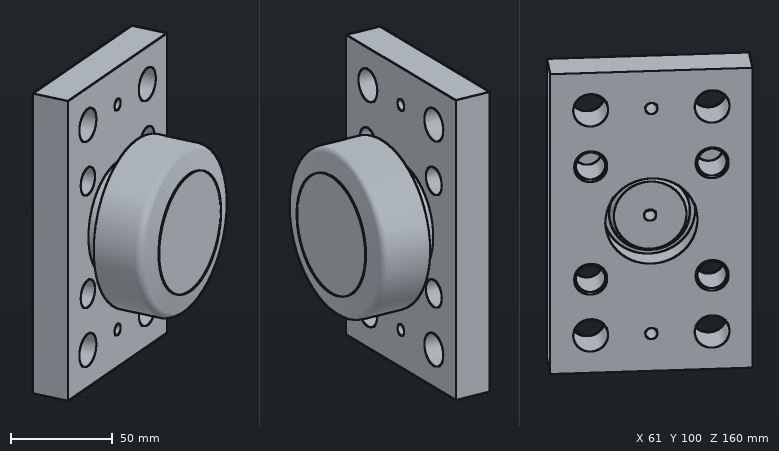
import cadquery as cq
import math

plate_thickness = 20.0
plate_width = 100.0
plate_height = 160

mount_hole_diameter = 17.1
mount_hole_spacing_y = 60.0
mount_hole_spacing_z = 120
pin_hole_diameter = 6.0
screw_hole_diameter = 14.4
screw_hole_mouth_diameter = 16.3
screw_hole_spacing = 60.0
screw_mouth_depth = (screw_hole_mouth_diameter - screw_hole_diameter) / 2

neck_radius = 29.5
collar_radius = 31.0
collar_start = 29.1
roller_start = 30.5
roller_end = 61.0
roller_radius = 44.2
back_edge_radius = 1.6
front_edge_start = 54.7
crown_start = 58.4
crown_radius = 41.5
front_face_start = 60.5
front_face_radius = 31.2

recess_radius = 22.7
recess_depth = 13.0
shaft_radius = 20.0
shaft_bevel_width = 2.0
shaft_bevel_length = 3.5
shaft_end = 7.5
center_hole_diameter = 6.0
center_hole_depth = 12.8
drill_tip_angle = 118


def disc(radius, start, end):
    """Cylinder about the X axis from start to end."""
    return cq.Workplane("YZ", origin=(start, 0, 0)).circle(radius).extrude(end - start)


def rectangle_corners(spacing_y, spacing_z):
    """Corners of a centred rectangle on the back face of the plate."""
    return cq.Workplane("YZ").rect(spacing_y, spacing_z, forConstruction=True).vertices()


def make_plate():
    plate = cq.Workplane("YZ").rect(plate_width, plate_height).extrude(plate_thickness)
    mount_holes = (
        rectangle_corners(mount_hole_spacing_y, mount_hole_spacing_z)
        .circle(mount_hole_diameter / 2)
        .extrude(plate_thickness)
    )
    pin_holes = (
        cq.Workplane("YZ")
        .pushPoints([(0, -mount_hole_spacing_z / 2), (0, mount_hole_spacing_z / 2)])
        .circle(pin_hole_diameter / 2)
        .extrude(plate_thickness)
    )
    screw_cutter = disc(screw_hole_diameter / 2, 0, plate_thickness).union(
        cq.Workplane("YZ")
        .circle(screw_hole_mouth_diameter / 2)
        .workplane(offset=screw_mouth_depth)
        .circle(screw_hole_diameter / 2)
        .loft()
    )
    plate = plate.cut(mount_holes).cut(pin_holes)
    for y in (-screw_hole_spacing / 2, screw_hole_spacing / 2):
        for z in (-screw_hole_spacing / 2, screw_hole_spacing / 2):
            plate = plate.cut(screw_cutter.translate((0, y, z)))
    return plate


def make_roller():
    """Roller with a rounded back edge, a rounded shoulder and a tapered crown."""
    profile = (
        cq.Workplane("XY")
        .moveTo(roller_start, 0)
        .lineTo(roller_start, roller_radius - back_edge_radius)
        .radiusArc((roller_start + back_edge_radius, roller_radius), back_edge_radius)
        .lineTo(front_edge_start, roller_radius)
        .tangentArcPoint((crown_start, crown_radius), relative=False)
        .lineTo(front_face_start, front_face_radius)
        .lineTo(roller_end, front_face_radius)
        .lineTo(roller_end, 0)
        .close()
    )
    return profile.revolve(360, (0, 0, 0), (1, 0, 0))


def make_center_hole():
    """Blind hole in the shaft end with a conical drill tip."""
    radius = center_hole_diameter / 2
    tip_length = radius / math.tan(math.radians(drill_tip_angle / 2))
    bottom = shaft_end + center_hole_depth
    return (
        cq.Workplane("XY")
        .moveTo(shaft_end, 0)
        .lineTo(shaft_end, radius)
        .lineTo(bottom, radius)
        .lineTo(bottom + tip_length, 0)
        .close()
        .revolve(360, (0, 0, 0), (1, 0, 0))
    )


recess = disc(recess_radius, 0, recess_depth)
shaft = disc(shaft_radius, shaft_end, recess_depth).faces("<X").chamfer(shaft_bevel_length, shaft_bevel_width)
neck = disc(neck_radius, plate_thickness, collar_start)
collar = disc(collar_radius, collar_start, roller_start)

body = make_plate().cut(recess).union(shaft).union(neck).union(collar).union(make_roller())
result = body.cut(make_center_hole())